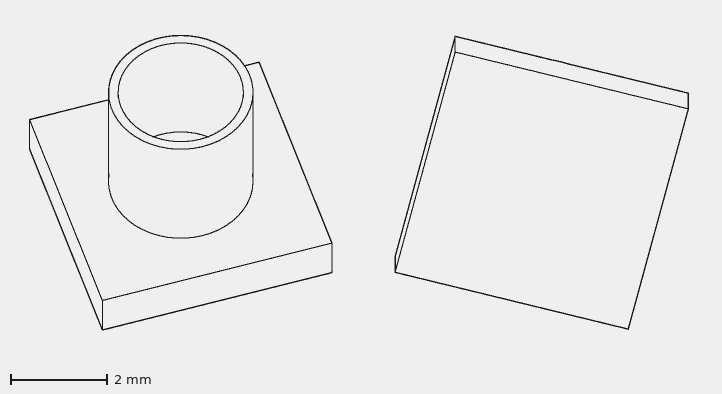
import cadquery as cq

plate_side = 5.0
plate_thickness = 1.0

tube_outer_diameter = 3.0
tube_wall = 0.2
tube_height = 3.0
tube_inner_diameter = tube_outer_diameter - 2 * tube_wall


def make_plate():
    """Square plate with its underside on Z = 0, centred on the Z axis."""
    return cq.Workplane("XY").box(plate_side, plate_side, plate_thickness, centered=(True, True, False))


def make_tube():
    """Open tube resting on the top face of the plate."""
    return (
        cq.Workplane("XY", origin=(0, 0, plate_thickness))
        .circle(tube_outer_diameter / 2)
        .circle(tube_inner_diameter / 2)
        .extrude(tube_height)
    )


plate = make_plate()
tube = make_tube()

result = cq.Compound.makeCompound([plate.val(), tube.val()])